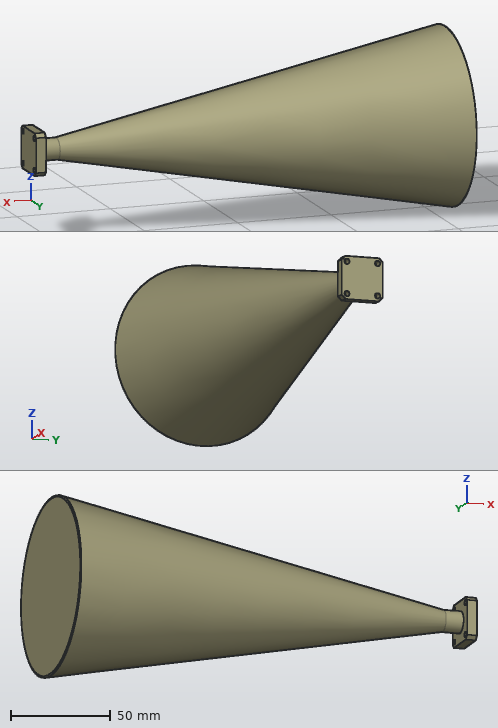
import cadquery as cq

total_length = 223.5
mouth_diameter = 92.5

flange_width = 22.1
flange_thickness = 5.4
corner_chamfer = 2.0
bolt_spacing = 16.5
bolt_hole_diameter = 2.7

neck_diameter = 11.5
neck_length = 9.4

rim_bevel_width = 1.0
rim_bevel_depth = 0.5

flange_start = total_length / 2 - flange_thickness
cone_end = flange_start - neck_length
mouth_position = -total_length / 2


def make_horn():
    """Solid cone and neck, revolved about the X axis."""
    profile = [
        (mouth_position, 0),
        (mouth_position, mouth_diameter / 2 - rim_bevel_width),
        (mouth_position + rim_bevel_depth, mouth_diameter / 2),
        (cone_end, neck_diameter / 2),
        (flange_start, neck_diameter / 2),
        (flange_start, 0),
    ]
    return cq.Workplane("XY").polyline(profile).close().revolve(360, (0, 0, 0), (1, 0, 0))


def make_flange():
    """Square plate with chamfered corners and four through bolt holes."""
    return (
        cq.Workplane("YZ", origin=(flange_start, 0, 0))
        .rect(flange_width, flange_width)
        .extrude(flange_thickness)
        .edges("|X")
        .chamfer(corner_chamfer)
        .faces(">X")
        .workplane()
        .rect(bolt_spacing, bolt_spacing, forConstruction=True)
        .vertices()
        .hole(bolt_hole_diameter)
    )


result = make_horn().union(make_flange())